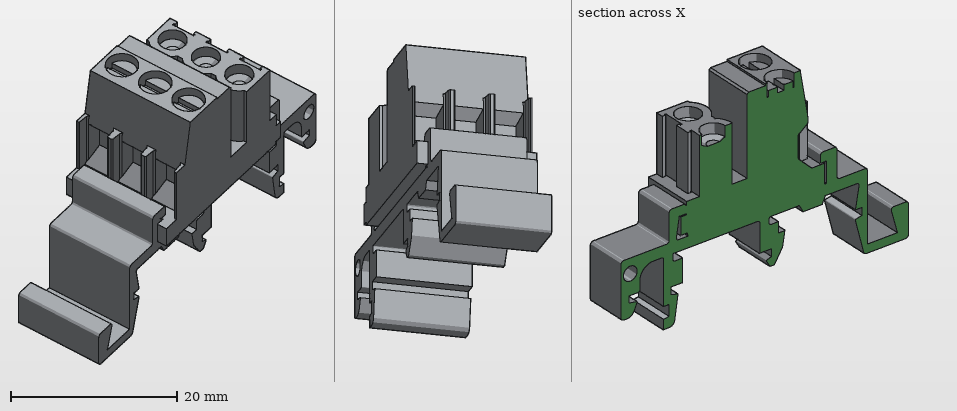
import cadquery as cq
import math


LENGTH = 43.7
TOP_Z = 16.95
BOTTOM_Z = -11.85
POLES = 3
BLOCK_WIDTH = 15.0
PITCH = BLOCK_WIDTH / POLES
CARRIER_WIDTH = 12.0

PLATE_BOTTOM = -1.7
LEDGE_Z = -2.75
LEG_SHOULDER_Z = -6.2
NECK_Z = -7.2
CORNER_R = 0.5
ROOT_R = 0.25
CLIP_ROOT_R = 0.35
TIP_R = 0.15
TAIL_ARCH_R = 2.0
TAIL_TIP_R = 1.22
LEG_BEND_R = 0.87
FRONT_CLIP_TOP = 4.55
FRONT_CLIP_UNDERSIDE = 3.0
FRONT_CLIP_FRONT_Y = 10.85
FRONT_CLIP_WALL_Y = 12.5
FRONT_CLIP_TIP_Y = 13.45
REAR_CLIP_TOP = 4.6
REAR_CLIP_UNDERSIDE = 3.1
REAR_CLIP_REAR_Y = 36.4
ARM_WALL_Y = 6.2
ARM_FLOOR_Z = -10.55
ARM_LIP_TOP = -6.75
PIVOT_DIAMETER = 2.0
PIVOT_Y = 42.25
PIVOT_Z = -2.2

FOOT_FRONT_Y = 11.62
FOOT_REAR_Y = 34.6
FOOT_RELIEF_Z = 0.4
FOOT_FRONT_Z = 2.9
FOOT_REAR_Z = 3.0
DECK_Z = 4.85
DECK_REAR_Y = 33.75
TOWER_REAR_Y = 24.55
TOWER_TOP_FRONT_Y = 16.45
TOWER_WALL_Y = 15.25
TOWER_WALL_TOP = 10.05
TOE_LENGTH = 0.52
TOWER_CHAMFER = 0.25
TOP_STEP_Y = 21.8
TOP_STEP_DROP = 0.25

RIB_FRONT_Y = 13.65
RIB_REAR_Y = 15.4
RIB_TOP = 10.65
RIB_TIP_WIDTH = 0.45
RIB_NOSE_WIDTH = 0.8
RIB_NOSE_LENGTH = 0.15
RIB_WIDTH = 0.95
RIB_ROOT_WIDTH = 1.4
RIB_FLARE = 0.4

FUNNEL_MOUTH_WIDTH = 3.7
FUNNEL_MOUTH_BOTTOM = FOOT_FRONT_Z + TOE_LENGTH
FUNNEL_MOUTH_TOP = 9.25
FUNNEL_END_WIDTH = 2.7
FUNNEL_END_BOTTOM = 4.95
FUNNEL_END_TOP = 8.05
FUNNEL_DEPTH = FUNNEL_END_BOTTOM - FUNNEL_MOUTH_BOTTOM

NOTCH_WIDTH = 12.3
NOTCH_DEPTH = 1.1

SCREW_Y = 19.45
SCREW_WELL_DIAMETER = 4.0
SCREW_WELL_DEPTH = 1.95
SCREW_HEAD_DIAMETER = 3.8
SCREW_HEAD_HEIGHT = 0.87
SCREW_SLOT_WIDTH = 0.9
SCREW_SLOT_DEPTH = 0.8

SOCKET_ROW_TOP = 13.3
SOCKET_ROW_FRONT_Y = 27.75
SOCKET_ROW_REAR_Y = 32.45
SOCKET_Y = 29.65
SOCKET_WALL_RADIUS = 2.85
SOCKET_DIAMETER = 3.5
SOCKET_DEPTH = 1.55
SOCKET_END_DIAMETER = 1.8
SOCKET_CONE_DEPTH = 0.4

GROOVE_WIDTH = 2.75
GROOVE_FLOOR_WIDTH = 3.15
GROOVE_DEPTH = 0.7
GROOVE_UNDERCUT = 0.2


def rounded_prism(corners, width):
    """Extrude a YZ outline, centred on X. A corner is (y, z) or (y, z, radius)."""
    outline = cq.Workplane("YZ")
    count = len(corners)
    for i, corner in enumerate(corners):
        y, z = corner[:2]
        if len(corner) == 2:
            path = [(y, z)]
        else:
            path = corner_arc(corners[i - 1], corner, corners[(i + 1) % count])
        outline = outline.lineTo(*path[0]) if i else outline.moveTo(*path[0])
        if len(path) == 3:
            outline = outline.threePointArc(path[1], path[2])
    return outline.close().extrude(width / 2, both=True)


def corner_arc(before, corner, after):
    """Start, middle and end of the arc that rounds a corner."""
    y, z, radius = corner
    in_angle = math.atan2(before[1] - z, before[0] - y)
    out_angle = math.atan2(after[1] - z, after[0] - y)
    half = math.remainder(out_angle - in_angle, 2 * math.pi) / 2
    setback = radius / abs(math.tan(half))
    reach = radius / abs(math.sin(half)) - radius
    middle = in_angle + half
    return [
        (y + setback * math.cos(in_angle), z + setback * math.sin(in_angle)),
        (y + reach * math.cos(middle), z + reach * math.sin(middle)),
        (y + setback * math.cos(out_angle), z + setback * math.sin(out_angle)),
    ]


def prism(points, bottom, top):
    """Extrude an XY polygon between two levels."""
    return cq.Workplane("XY", origin=(0, 0, bottom)).polyline(points).close().extrude(top - bottom)


def cylinder(x, y, diameter, bottom, top):
    return cq.Workplane("XY", origin=(x, y, bottom)).circle(diameter / 2).extrude(top - bottom)


def box(x_size, y_range, z_range, x=0):
    y0, y1 = y_range
    z0, z1 = z_range
    return cq.Workplane("XY").box(x_size, y1 - y0, z1 - z0).translate((x, (y0 + y1) / 2, (z0 + z1) / 2))


def make_carrier():
    rear_tail = [
        (LENGTH, 0, CORNER_R),
        (LENGTH, -8.3, 0.52),
        (41.95, -8.3, TAIL_TIP_R),
        (41.1, -6.4, TIP_R),
        (42.4, -6.15),
        (42.4, -5.25),
        (40.77, -5.25, TIP_R),
        (40.77, PLATE_BOTTOM, TAIL_ARCH_R),
    ]
    rear_leg = [
        (37.25, PLATE_BOTTOM, ROOT_R),
        (37.25, -8.5, TIP_R),
        (36.4, -8.5),
        (36.4, -10.1),
        (37.25, -10.23),
        (37.25, -11.7),
        (35.55, -11.7, LEG_BEND_R),
        (34.95, -7.47, TIP_R),
        (36.05, NECK_Z),
        (36.05, LEG_SHOULDER_Z),
        (34.3, LEG_SHOULDER_Z),
        (34.3, LEDGE_Z),
        (35.75, LEDGE_Z, ROOT_R),
        (35.75, PLATE_BOTTOM, TIP_R),
    ]
    middle_leg = [
        (22.65, PLATE_BOTTOM, ROOT_R),
        (22.65, LEG_SHOULDER_Z),
        (20.85, LEG_SHOULDER_Z),
        (20.85, NECK_Z),
        (21.68, -7.5, TIP_R),
        (21.05, -8.55, TIP_R),
        (20.35, -8.55, TIP_R),
        (19.1, -6.5, LEG_BEND_R),
        (18.75, -4.33),
        (19.7, -4.33),
        (19.7, LEDGE_Z, TIP_R),
        (21.15, LEDGE_Z, ROOT_R),
        (21.15, PLATE_BOTTOM, ROOT_R),
    ]
    pad = [
        (16.6, PLATE_BOTTOM),
        (16.05, LEDGE_Z),
        (13.1, LEDGE_Z),
        (12.65, PLATE_BOTTOM),
    ]
    front_arm = [
        (7.5, PLATE_BOTTOM, ROOT_R),
        (8.15, -5.25, TIP_R),
        (7.12, -5.25),
        (7.12, -6.3),
        (8.17, -6.5, TIP_R),
        (6.77, BOTTOM_Z, CORNER_R),
        (0, BOTTOM_Z, CORNER_R),
        (0, ARM_LIP_TOP, CORNER_R),
        (2.8, ARM_LIP_TOP, 0.4),
        (1.75, ARM_FLOOR_Z),
        (ARM_WALL_Y, ARM_FLOOR_Z),
        (ARM_WALL_Y, 0, CORNER_R),
    ]
    front_clip = [
        (FRONT_CLIP_FRONT_Y, 0, CLIP_ROOT_R),
        (FRONT_CLIP_FRONT_Y, FRONT_CLIP_TOP, CORNER_R),
        (FRONT_CLIP_TIP_Y, FRONT_CLIP_TOP, CORNER_R),
        (FRONT_CLIP_TIP_Y, FRONT_CLIP_UNDERSIDE),
        (FRONT_CLIP_WALL_Y, FRONT_CLIP_UNDERSIDE),
        (FRONT_CLIP_WALL_Y, 0),
    ]
    rear_clip = [
        (35.25, 0, ROOT_R),
        (34.8, REAR_CLIP_UNDERSIDE),
        (DECK_REAR_Y, REAR_CLIP_UNDERSIDE),
        (DECK_REAR_Y, REAR_CLIP_TOP, CORNER_R),
        (REAR_CLIP_REAR_Y, REAR_CLIP_TOP, CORNER_R),
        (REAR_CLIP_REAR_Y, 0, CLIP_ROOT_R),
    ]
    outline = rear_tail + rear_leg + middle_leg + pad + front_arm + front_clip + rear_clip
    pivot = (
        cq.Workplane("YZ")
        .center(PIVOT_Y, PIVOT_Z)
        .circle(PIVOT_DIAMETER / 2)
        .extrude(CARRIER_WIDTH, both=True)
    )
    return rounded_prism(outline, CARRIER_WIDTH).cut(pivot)


def make_tower():
    tower_shoulder_z = TOP_Z - TOP_STEP_DROP
    outline = [
        (FOOT_FRONT_Y, 0),
        (FOOT_FRONT_Y, FOOT_FRONT_Z),
        (TOWER_WALL_Y - TOE_LENGTH, FOOT_FRONT_Z),
        (TOWER_WALL_Y, FUNNEL_MOUTH_BOTTOM),
        (TOWER_WALL_Y, TOWER_WALL_TOP),
        (TOWER_TOP_FRONT_Y, TOP_Z),
        (TOP_STEP_Y, TOP_Z),
        (TOP_STEP_Y, tower_shoulder_z),
        (TOWER_REAR_Y - TOWER_CHAMFER, tower_shoulder_z),
        (TOWER_REAR_Y, tower_shoulder_z - TOWER_CHAMFER),
        (TOWER_REAR_Y, DECK_Z),
        (DECK_REAR_Y, DECK_Z),
        (DECK_REAR_Y, FOOT_REAR_Z),
        (FOOT_REAR_Y, FOOT_REAR_Z),
        (FOOT_REAR_Y, FOOT_RELIEF_Z),
        (33.65, FOOT_RELIEF_Z),
        (33.5, 0),
    ]
    notch = box(NOTCH_WIDTH, (FOOT_FRONT_Y, FOOT_FRONT_Y + NOTCH_DEPTH), (0, FOOT_FRONT_Z))
    return rounded_prism(outline, BLOCK_WIDTH).cut(notch)


def make_rib(x):
    right_side = [
        (RIB_TIP_WIDTH / 2, RIB_FRONT_Y),
        (RIB_NOSE_WIDTH / 2, RIB_FRONT_Y + RIB_NOSE_LENGTH),
        (RIB_WIDTH / 2, RIB_REAR_Y - RIB_FLARE),
        (RIB_ROOT_WIDTH / 2, RIB_REAR_Y),
    ]
    left_side = [(-px, py) for px, py in reversed(right_side)]
    return prism(right_side + left_side, FOOT_FRONT_Z, RIB_TOP).translate((x, 0, 0))


def make_ribs():
    ribs = cq.Workplane("XY")
    for i in range(POLES + 1):
        ribs = ribs.add(make_rib((i - POLES / 2) * PITCH))
    block_space = box(BLOCK_WIDTH, (FOOT_FRONT_Y, FOOT_REAR_Y), (0, TOP_Z))
    return ribs.combine().intersect(block_space)


def make_funnel(x):
    mouth_height = FUNNEL_MOUTH_TOP - FUNNEL_MOUTH_BOTTOM
    mouth_z = (FUNNEL_MOUTH_TOP + FUNNEL_MOUTH_BOTTOM) / 2
    end_height = FUNNEL_END_TOP - FUNNEL_END_BOTTOM
    end_z = (FUNNEL_END_TOP + FUNNEL_END_BOTTOM) / 2
    return (
        cq.Workplane("XZ", origin=(x, TOWER_WALL_Y, mouth_z))
        .rect(FUNNEL_MOUTH_WIDTH, mouth_height)
        .workplane(offset=-FUNNEL_DEPTH)
        .center(0, end_z - mouth_z)
        .rect(FUNNEL_END_WIDTH, end_height)
        .loft(ruled=True)
    )


def make_screw_well(x):
    """The gap left in the tower around and above a slotted screw head."""
    floor = TOP_Z - SCREW_WELL_DEPTH
    head_top = floor + SCREW_HEAD_HEIGHT
    slot = box(
        SCREW_HEAD_DIAMETER,
        (SCREW_Y - SCREW_SLOT_WIDTH / 2, SCREW_Y + SCREW_SLOT_WIDTH / 2),
        (head_top - SCREW_SLOT_DEPTH, head_top),
        x,
    )
    head = cylinder(x, SCREW_Y, SCREW_HEAD_DIAMETER, floor, head_top).cut(slot)
    return cylinder(x, SCREW_Y, SCREW_WELL_DIAMETER, floor, TOP_Z).cut(head)


def make_socket_row():
    return box(BLOCK_WIDTH, (SOCKET_ROW_FRONT_Y, SOCKET_ROW_REAR_Y), (DECK_Z, SOCKET_ROW_TOP))


def make_socket_wall(x):
    return cylinder(x, SOCKET_Y, 2 * SOCKET_WALL_RADIUS, DECK_Z, SOCKET_ROW_TOP).intersect(
        box(PITCH, (SOCKET_Y - SOCKET_WALL_RADIUS, SOCKET_Y), (DECK_Z, SOCKET_ROW_TOP), x)
    )


def make_socket(x):
    cone_top = SOCKET_ROW_TOP - SOCKET_DEPTH
    cone = (
        cq.Workplane("XY", origin=(x, SOCKET_Y, cone_top))
        .circle(SOCKET_DIAMETER / 2)
        .workplane(offset=-SOCKET_CONE_DEPTH)
        .circle(SOCKET_END_DIAMETER / 2)
        .loft()
    )
    return cylinder(x, SOCKET_Y, SOCKET_DIAMETER, cone_top, SOCKET_ROW_TOP).union(cone)


def make_groove(x):
    floor_y = SOCKET_ROW_REAR_Y - GROOVE_DEPTH
    neck = box(GROOVE_WIDTH, (floor_y, SOCKET_ROW_REAR_Y), (DECK_Z, SOCKET_ROW_TOP), x)
    undercut = box(
        GROOVE_FLOOR_WIDTH, (floor_y, floor_y + GROOVE_UNDERCUT), (DECK_Z, SOCKET_ROW_TOP), x
    )
    return neck.union(undercut)


def make_block():
    pole_x = [(i - (POLES - 1) / 2) * PITCH for i in range(POLES)]
    block = make_tower().union(make_ribs()).union(make_socket_row())
    for x in pole_x:
        block = block.union(make_socket_wall(x))
    for x in pole_x:
        block = block.cut(make_funnel(x))
        block = block.cut(make_screw_well(x))
        block = block.cut(make_socket(x))
        block = block.cut(make_groove(x))
    return block


result = make_carrier().union(make_block())